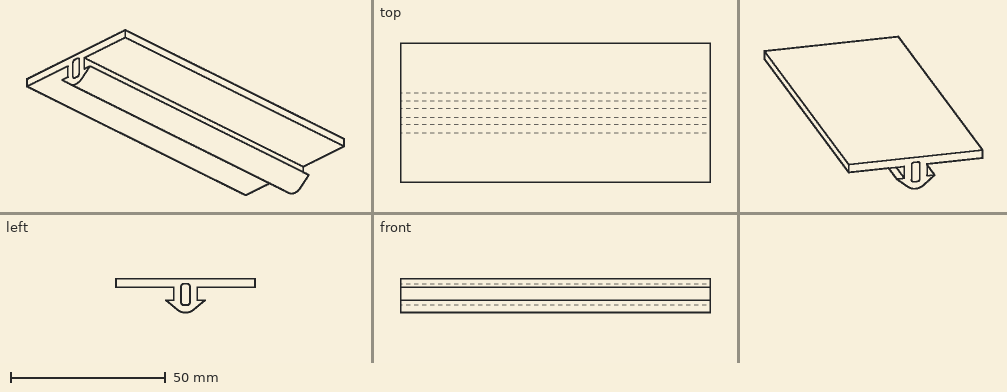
import cadquery as cq

length = 100.0
plate_width = 45.0
plate_thickness = 2.8
total_height = 11.0

stem_width = 7.6
barb_width = 12.8
barb_shoulder_height = 4.1
nose_width = 3.0
nose_radius = 4.0

slot_width = 2.8
slot_bottom = 2.5
slot_top = 9.3
slot_corner_radius = 0.8

plate_bottom = total_height - plate_thickness


def make_plate():
    return (
        cq.Workplane("XY")
        .box(length, plate_width, plate_thickness, centered=(True, True, False))
        .translate((0, 0, plate_bottom))
    )


def make_rail():
    half_section = [
        (nose_width / 2, 0),
        (barb_width / 2, barb_shoulder_height),
        (stem_width / 2, barb_shoulder_height),
        (stem_width / 2, plate_bottom),
    ]
    mirrored = [(-y, z) for y, z in reversed(half_section)]
    rail = (
        cq.Workplane("YZ")
        .polyline(half_section + mirrored)
        .close()
        .extrude(length / 2, both=True)
    )
    nose_edges = rail.faces("<Z").edges("|X")
    return nose_edges.fillet(nose_radius)


def make_slot():
    slot_height = slot_top - slot_bottom
    return (
        cq.Workplane("XY")
        .box(length, slot_width, slot_height, centered=(True, True, False))
        .edges("|X")
        .fillet(slot_corner_radius)
        .translate((0, 0, slot_bottom))
    )


result = make_plate().union(make_rail()).cut(make_slot())